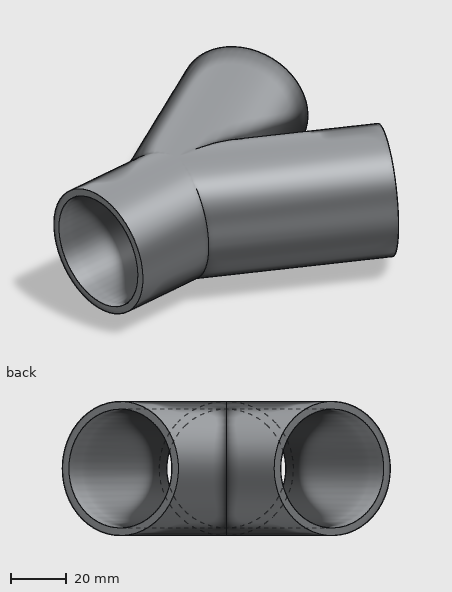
import cadquery as cq
import math

outer_diameter = 48.26
inner_diameter = 42.72

stem_length = 38.1
arm_length = 76.2
arm_angle = 30.0


def leg(diameter, length, direction):
    """Solid cylinder running from the axis junction along the given direction."""
    return cq.Workplane(
        cq.Solid.makeCylinder(diameter / 2, length, cq.Vector(0, 0, 0), direction)
    )


def wye(diameter):
    """Stem along -Y joined to two arms splayed symmetrically about +Y."""
    body = leg(diameter, stem_length, cq.Vector(0, -1, 0))
    for side in (-1, 1):
        angle = math.radians(side * arm_angle)
        body = body.union(leg(diameter, arm_length, cq.Vector(math.sin(angle), math.cos(angle), 0)))
    return body


result = wye(outer_diameter).cut(wye(inner_diameter))